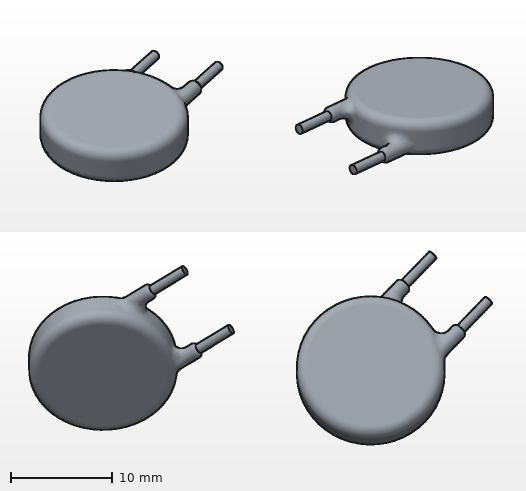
import cadquery as cq

disc_diameter = 14.6
disc_thickness = 3.9
rim_radius = 1.0

total_length = 20.3
lead_diameter = 1.0
lead_length = 4.0
lead_offset_x = 3.75
lead_offset_z = 0.85

sleeve_diameter = 1.58
sleeve_end_radius = 0.4
root_radius = 1.0
sleeve_start_y = 3.05

disc_radius = disc_diameter / 2
lead_end_y = total_length - disc_radius
sleeve_end_y = lead_end_y - lead_length
root_min_y = disc_radius / 2
root_max_y = disc_radius


def rod_along_y(diameter, x, z, start_y, end_y):
    """Make a cylinder parallel to Y."""
    plane = cq.Plane(origin=(x, start_y, z), xDir=(1, 0, 0), normal=(0, 1, 0))
    return cq.Workplane(plane).circle(diameter / 2).extrude(end_y - start_y)


def sleeve_root_box(x):
    """Make a selector enclosing the joint between one sleeve and the disc."""
    half_width = sleeve_diameter / 2 + 0.2
    return cq.selectors.BoxSelector(
        (x - half_width, root_min_y, -disc_thickness / 2),
        (x + half_width, root_max_y, disc_thickness / 2),
        boundingbox=True,
    )


disc = (
    cq.Workplane("XY")
    .circle(disc_radius)
    .extrude(disc_thickness / 2, both=True)
    .edges("%CIRCLE")
    .fillet(rim_radius)
)

lead_places = [(-lead_offset_x, -lead_offset_z), (lead_offset_x, lead_offset_z)]

result = disc
for x, z in lead_places:
    sleeve = rod_along_y(sleeve_diameter, x, z, sleeve_start_y, sleeve_end_y)
    sleeve = sleeve.faces(">Y").edges().fillet(sleeve_end_radius)
    result = result.union(sleeve)
    result = result.edges(sleeve_root_box(x)).fillet(root_radius)

for x, z in lead_places:
    result = result.union(rod_along_y(lead_diameter, x, z, sleeve_start_y, lead_end_y))